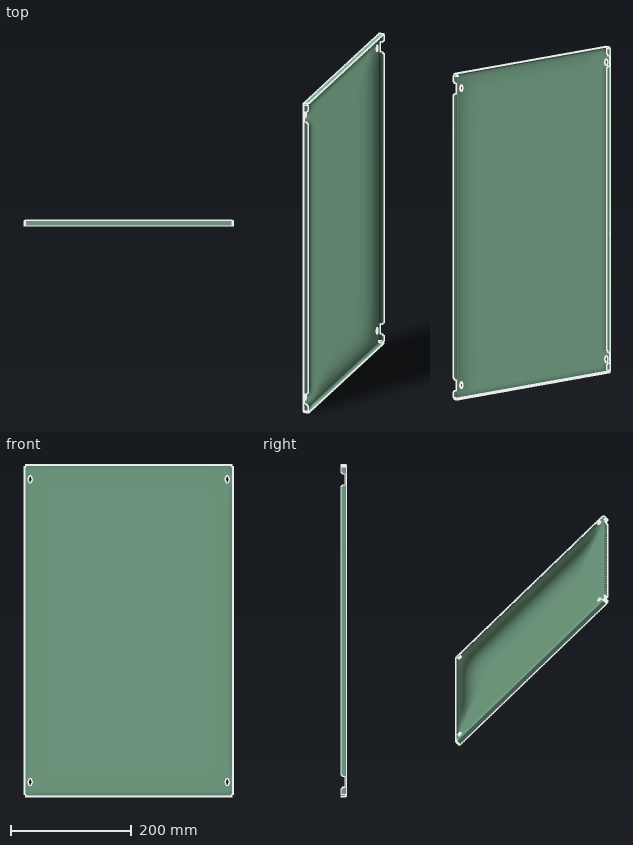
import cadquery as cq

width = 347.0
depth = 10.0
height = 550.0
sheet = 1.5
inner_bend_radius = 1.5
outer_bend_radius = inner_bend_radius + sheet

side_flange_setback = 3.6
end_flange_setback = 2.3

gap_start = 16.0
gap_end = 33.5
gap_corner_radius = 3.0

slot_width = 4.5
slot_middle_diameter = 6.5
slot_length = 11.0
slot_spacing_x = 326.0
slot_spacing_z = 501.0

back = depth / 2
front = -depth / 2
bend_start = back - outer_bend_radius


def flat_plate():
    """Flat middle of the sheet, ending where the four bends begin."""
    flat_width = width - 2 * outer_bend_radius
    flat_height = height - 2 * outer_bend_radius
    return cq.Workplane("XY").box(flat_width, sheet, flat_height).translate((0, back - sheet / 2, 0))


def edge_flange(edge, length):
    """Bend and flange on the +X side, with its outer face at X = edge, centred along Z."""
    bend_edge = edge - outer_bend_radius
    inner_face = edge - sheet
    return (
        cq.Workplane("XY")
        .moveTo(bend_edge, back)
        .radiusArc((edge, bend_start), outer_bend_radius)
        .lineTo(edge, front)
        .lineTo(inner_face, front)
        .lineTo(inner_face, bend_start)
        .radiusArc((bend_edge, back - sheet), -inner_bend_radius)
        .close()
        .extrude(length / 2, both=True)
    )


def flange_gap():
    """Cutter for the upper gap in a side flange, leaving rounded flange corners at the free edge."""
    start = height / 2 - gap_start
    end = height / 2 - gap_end
    round_start = front + gap_corner_radius
    return (
        cq.Workplane("YZ")
        .moveTo(bend_start, end)
        .lineTo(bend_start, start)
        .lineTo(round_start, start)
        .radiusArc((front, start + gap_corner_radius), -gap_corner_radius)
        .lineTo(front, end - gap_corner_radius)
        .radiusArc((round_start, end), -gap_corner_radius)
        .close()
        .extrude(width, both=True)
    )


def mounting_slots():
    """Cutter for the four slots near the plate corners."""
    centres = cq.Workplane("XZ").rarray(slot_spacing_x, slot_spacing_z, 2, 2)
    slots = centres.slot2D(slot_length, slot_width, 90).extrude(depth, both=True)
    middles = centres.circle(slot_middle_diameter / 2).extrude(depth, both=True)
    return slots.union(middles)


upper_gap = flange_gap()
side_flange = edge_flange(width / 2, height - 2 * side_flange_setback)
side_flange = side_flange.cut(upper_gap).cut(upper_gap.mirror("XY"))

end_flange = edge_flange(height / 2, width - 2 * end_flange_setback)
end_flange = end_flange.rotate((0, 0, 0), (0, 1, 0), -90)

result = flat_plate()
for flange, mirror_plane in ((side_flange, "YZ"), (end_flange, "XY")):
    result = result.union(flange).union(flange.mirror(mirror_plane))
result = result.cut(mounting_slots())